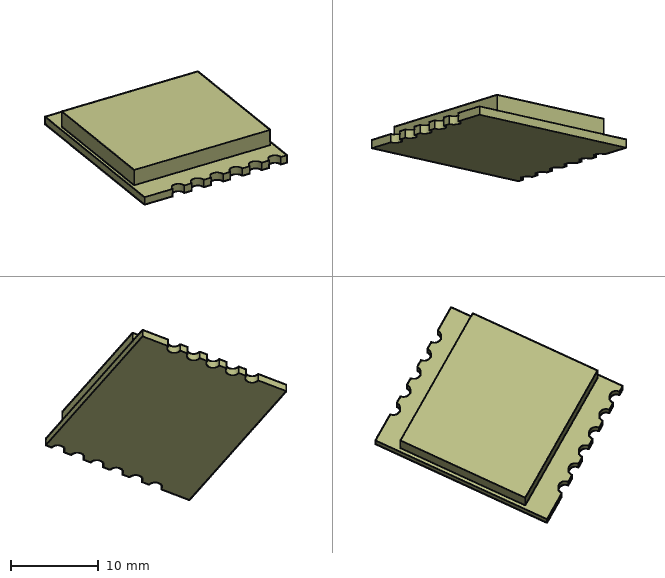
import cadquery as cq

board_length = 22.0
board_width = 19.0
board_thickness = 1.0

can_length = 16.0
can_width = 18.15
total_height = 3.0
can_height = total_height - board_thickness

notch_radius = 0.8
notch_pitch = 2.57
lowest_notch_y = -4.97
left_notch_count = 5
right_notch_count = 6


def notch_cutter(edge_x, count):
    """Row of cylinders centred on a board edge, starting from the lowest notch."""
    centres = [(edge_x, lowest_notch_y + i * notch_pitch) for i in range(count)]
    return cq.Workplane("XY").pushPoints(centres).circle(notch_radius).extrude(board_thickness)


board = cq.Workplane("XY").box(
    board_length, board_width, board_thickness, centered=(True, True, False)
)
board = board.cut(notch_cutter(-board_length / 2, left_notch_count))
board = board.cut(notch_cutter(board_length / 2, right_notch_count))

can = (
    cq.Workplane("XY")
    .workplane(offset=board_thickness)
    .rect(can_length, can_width)
    .extrude(can_height)
)

result = board.union(can)